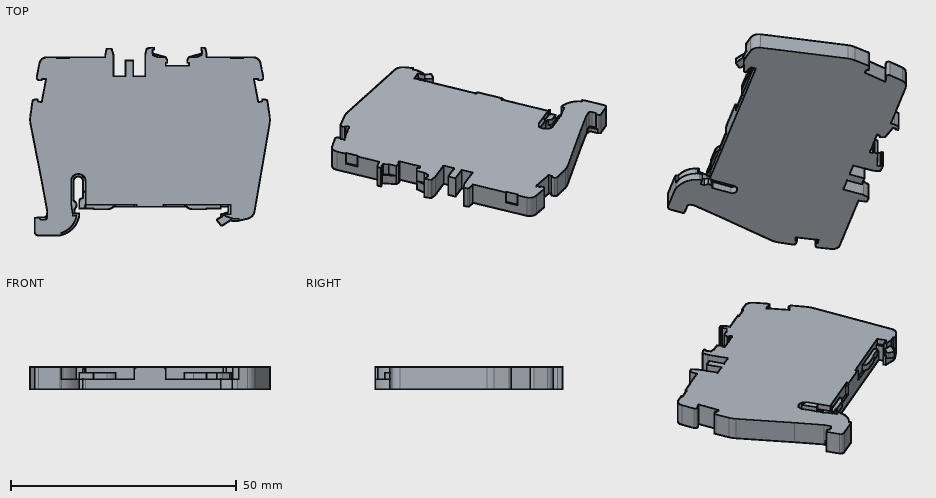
import cadquery as cq
import math


width = 53.3
height = 41.69
thickness = 5.0
half_width = width / 2

ledge_z = 2.28
tab_top_z = 3.7
notch_web_z = 1.06

shoulder_y = 39.6
clip_top_y = height
post_top_y = 41.5
ramp_top_y = 40.45
slot_floor_y = 35.4
pin_top_y = 38.9
seat_floor_y = 37.7
seat_lip_y = 38.35
rail_y = 6.35
pocket_wall_y = 6.87
tab_face_y = 5.8
tab_step_y = 6.0
tip_y = 4.93
nose_top_y = 4.74

foot_left_x = -25.6
foot_notch_x = -22.84
foot_flat_end_x = -20.0
hook_step_end_x = -19.66
tip_x = -15.69
flank_corner_x = half_width + 0.06
pocket_inner_x = 3.52
left_clip_x = 0.58
right_clip_x = 11.5
seat_left_x = 3.55
seat_right_x = 8.55
ramp_foot_run = 1.15
nose_neck_y = 5.25
nose_wall_x = 17.37
pocket_outer_x = 17.95
nose_x = 15.73
heel_x = 19.35
heel_step_x = 19.69

slot_x = -15.91
slot_y = 12.05
slot_r = 1.04
slot_rim_r = 1.62
slot_left_x = slot_x - slot_r
slot_right_x = slot_x + slot_r
slot_rim_left_x = slot_x - slot_rim_r
slot_rim_right_x = slot_x + slot_rim_r
slot_chamfer_z = 0.55
slot_chamfer_end_y = 9.8

pocket_chamfer_x = 0.55
pocket_chamfer_z = 0.45

groove_inner_x = 17.9
groove_outer_x = 20.65
groove_depth = 0.3

gap_tolerance = 1e-4


def outline(points):
    """Closed wire through (x, y) corners; (x, y, r) corners are rounded with radius r."""
    path = []
    count = len(points)
    for i, point in enumerate(points):
        x, y = point[:2]
        if len(point) == 2:
            path.append(((x, y), None, (x, y)))
            continue
        radius = point[2]
        before = points[i - 1]
        after = points[(i + 1) % count]
        angle_in = math.atan2(before[1] - y, before[0] - x)
        angle_out = math.atan2(after[1] - y, after[0] - x)
        half = (angle_out - angle_in) / 2
        bisector = angle_in + half
        if math.cos(half) < 0:
            bisector += math.pi
        half_corner = math.acos(abs(math.cos(half)))
        setback = radius / math.tan(half_corner)
        reach = radius / math.sin(half_corner) - radius
        start = (x + setback * math.cos(angle_in), y + setback * math.sin(angle_in))
        middle = (x + reach * math.cos(bisector), y + reach * math.sin(bisector))
        end = (x + setback * math.cos(angle_out), y + setback * math.sin(angle_out))
        path.append((start, middle, end))
    wire = cq.Workplane("XY").moveTo(*path[0][2])
    reached = path[0][2]
    for start, middle, end in path[1:] + path[:1]:
        if math.dist(reached, start) > gap_tolerance:
            wire = wire.lineTo(*start)
        reached = end
        if middle:
            wire = wire.threePointArc(middle, end)
    return wire.close()


def prism(points, z_from, z_to):
    return outline(points).extrude(z_to - z_from).translate((0, 0, z_from))


def recess(points):
    """Cutter reaching from the ledge to the front face."""
    return prism(points, ledge_z, thickness)


def tab(points):
    return prism(points, ledge_z, tab_top_z)


def mirrored(points):
    """The same points on the other side of X = 0, in the same order."""
    return [(-x, y, *radius) for x, y, *radius in points]


def body():
    flank = [
        (24.3, shoulder_y, 1.75),
        (25.3, 34.45, 0.6),
        (24.05, 34.45),
        (24.0, 34.7),
        (23.1, 34.7),
        (24.05, 29.65),
        (24.87, 29.8),
        (24.87, 30.2),
        (26.05, 30.2, 0.6),
        (flank_corner_x, 25.6, 5.0),
    ]
    right_heel = [
        (23.0, 4.0, 2.2),
        (heel_x, 3.2),
    ]
    nose = [
        (18.3, 3.2),
        (nose_x, 4.16),
        (nose_x, nose_top_y),
        (16.3, 4.84),
        (nose_wall_x, nose_neck_y),
        (nose_wall_x, rail_y),
    ]
    slot_and_tip = [
        (slot_right_x, rail_y, 0.5),
        (slot_right_x, slot_y + slot_r, slot_r),
        (slot_left_x, slot_y + slot_r, slot_r),
        (slot_left_x, 7.75),
        (-16.35, 7.3),
        (-16.25, 6.5),
        (-16.75, tab_face_y),
        (-16.75, tip_y),
        (tip_x, tip_y),
        (tip_x, 4.3),
    ]
    hook = [
        (-16.4, 0.95, 5.5),
        (foot_flat_end_x, 0.0),
    ]
    foot = [
        (foot_left_x, 0.0, 0.8),
        (foot_left_x, 4.0, 0.3),
        (-24.6, 4.0),
        (-24.3, 3.55),
        (foot_notch_x, 3.55, 0.5),
        (foot_notch_x, 5.45),
        (-24.02, 11.9),
    ]
    left_post = [
        (-9.95, shoulder_y),
        (-9.95, 40.1),
        (-9.65, post_top_y, 0.3),
        (-8.5, post_top_y, 0.3),
        (-8.08, 40.1),
        (-8.08, slot_floor_y),
    ]
    pin = [
        (-5.45, slot_floor_y),
        (-5.45, pin_top_y),
        (-3.68, pin_top_y),
        (-3.68, slot_floor_y),
    ]
    left_clip = [
        (-1.1, slot_floor_y),
        (-1.1, 40.1),
        (-0.75, post_top_y, 0.3),
        (0.0, clip_top_y),
        (0.95, clip_top_y),
        (0.95, 41.4),
        (left_clip_x, 41.1),
        (left_clip_x, ramp_top_y),
    ]
    seat = [
        (seat_left_x, shoulder_y),
        (3.88, 38.8),
        (3.88, seat_lip_y),
        (3.52, seat_lip_y),
        (3.52, seat_floor_y),
        (8.62, seat_floor_y),
        (8.62, seat_lip_y),
        (8.22, seat_lip_y),
        (8.22, 38.8),
        (seat_right_x, shoulder_y),
    ]
    right_clip = [
        (right_clip_x, ramp_top_y),
        (right_clip_x, 41.1),
        (11.33, 41.2),
        (11.33, clip_top_y),
        (12.3, clip_top_y, 0.5),
        (12.58, 40.4),
        (12.58, shoulder_y),
    ]
    top = left_post + pin + left_clip + seat + right_clip
    bottom = right_heel + nose + slot_and_tip + hook + foot
    return prism(top + flank + bottom + mirrored(flank[::-1]), 0, thickness)


def slot_region():
    """Outline of the wider slot recess, open towards the rail pocket."""
    return [
        (slot_rim_left_x, slot_y + slot_rim_r, slot_rim_r),
        (slot_rim_left_x, 7.25),
        (-17.1, 4.4),
        (-16.35, 4.4),
        (tip_x + 0.3, 4.4),
        (slot_rim_right_x, pocket_wall_y),
        (slot_rim_right_x, slot_y + slot_rim_r, slot_rim_r),
    ]


def full_height_wall():
    """Zone of the right slot wall that keeps its full height apart from a chamfer."""
    top_y = slot_y + slot_rim_r
    return prism([
        (slot_right_x, slot_chamfer_end_y),
        (slot_rim_right_x, slot_chamfer_end_y),
        (slot_rim_right_x, top_y),
        (slot_right_x, top_y),
    ], 0, thickness)


def slot_recess():
    return recess(slot_region()).cut(full_height_wall())


def slot_chamfer():
    """Flat chamfer on the full-height wall, ending at the rounded recess wall."""
    length = slot_y + slot_rim_r - slot_chamfer_end_y
    wedge = (
        cq.Workplane("XZ", origin=(0, slot_y + slot_rim_r, 0))
        .moveTo(slot_right_x, thickness - slot_chamfer_z)
        .lineTo(slot_rim_right_x, thickness)
        .lineTo(slot_right_x, thickness)
        .close()
        .extrude(length)
    )
    return wedge.intersect(recess(slot_region()))


def hook_recess():
    """Step along the hook curve of the foot."""
    return recess([
        (-16.35, 4.5),
        (-16.35, 4.1),
        (-17.2, 1.5, 4.8),
        (hook_step_end_x, 0.6),
        (hook_step_end_x, -1.0),
        (-14.5, -1.0),
        (-14.5, 4.5),
    ])


def pocket(outer_x, side):
    """Pocket in the rail face; its inner end is chamfered at the front face."""
    inner_x = side * pocket_inner_x
    chamfered_x = side * (pocket_inner_x - pocket_chamfer_x)
    open_y = tip_y + 0.1
    pocket_cut = recess([
        (inner_x, open_y), (outer_x, open_y), (outer_x, pocket_wall_y), (inner_x, pocket_wall_y),
    ])
    wedge = (
        cq.Workplane("XZ", origin=(0, pocket_wall_y, 0))
        .moveTo(inner_x, thickness - pocket_chamfer_z)
        .lineTo(chamfered_x, thickness)
        .lineTo(inner_x, thickness)
        .close()
        .extrude(pocket_wall_y - open_y)
    )
    return pocket_cut.union(wedge)


def nose_recess():
    """Cuts the front layer back behind the nose."""
    return recess([
        (pocket_outer_x, 5.5),
        (pocket_outer_x, nose_top_y),
        (16.3, 4.8),
        (16.9, 4.26),
        (18.4, 3.75),
        (heel_step_x, 3.75),
        (heel_step_x, 3.0),
        (14.5, 3.0),
        (14.5, 5.5),
    ])


def ramp_recess(clip_x, seat_x, towards_seat):
    """Leaves a shorter, steeper ramp on the front layer beside a marker clip."""
    low_front_y = 40.05
    foot_x = clip_x + towards_seat * ramp_foot_run
    return recess([(clip_x, low_front_y), (foot_x, shoulder_y), (seat_x, shoulder_y), (clip_x, ramp_top_y)])


def marker_groove(side):
    low_y = shoulder_y - groove_depth
    clear_y = shoulder_y + groove_depth
    return recess([
        (side * groove_inner_x, low_y),
        (side * groove_outer_x, low_y),
        (side * groove_outer_x, clear_y),
        (side * groove_inner_x, clear_y),
    ])


tab_profile = [
    (7.6, pocket_wall_y),
    (8.4, tab_face_y, 2.4),
    (12.5, tab_face_y),
    (12.6, tab_step_y),
    (nose_x, tab_step_y),
]


def left_tab():
    latch = [
        (tip_x, 8.3, 0.7),
        (slot_right_x, 8.3),
        (slot_right_x, 9.6),
        (slot_rim_right_x, slot_chamfer_end_y),
        (slot_rim_right_x, pocket_wall_y),
    ]
    return tab(latch + mirrored(tab_profile))


def right_tab():
    return tab(tab_profile + [(nose_x, pocket_wall_y)])


def nose_tab():
    """Beak on the nose and the strip that joins it along the pocket end."""
    return tab([
        (nose_wall_x, pocket_wall_y),
        (nose_wall_x, nose_neck_y),
        (16.3, 4.84),
        (16.2, 4.4),
        (14.7, 3.5, 0.3),
        (15.9, 2.1, 0.25),
        (17.7, 3.25),
        (18.15, 3.8),
        (18.3, pocket_wall_y),
    ])


def notch_web():
    """Thin web at the back of the notch above the foot."""
    corner_y = 4.07
    return prism([
        (-25.0, corner_y),
        (foot_notch_x - 0.1, corner_y, 0.5),
        (foot_notch_x - 0.1, 5.0),
        (foot_notch_x + 0.3, 5.0),
        (foot_notch_x + 0.3, 3.4),
        (-24.9, 3.4),
    ], 0, notch_web_z)


result = body()

cutters = [
    slot_recess(),
    slot_chamfer(),
    hook_recess(),
    pocket(slot_rim_right_x, -1),
    pocket(pocket_outer_x, 1),
    nose_recess(),
    ramp_recess(left_clip_x, seat_left_x, 1),
    ramp_recess(right_clip_x, seat_right_x, -1),
    marker_groove(-1),
    marker_groove(1),
]
for cutter in cutters:
    result = result.cut(cutter)

for added in [left_tab(), right_tab(), nose_tab(), notch_web()]:
    result = result.union(added)